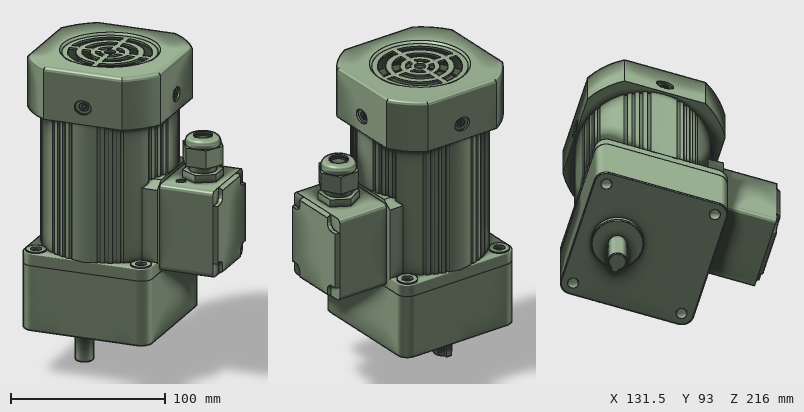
import cadquery as cq
import math


total_height = 216.0
total_length = 131.5
boss_bottom = 28.0
gearbox_bottom = 32.2
flange_bottom = 77.1
flange_top = 85.3
cover_bottom = 180.1

shaft_offset = 18.0
shaft_diameter = 12.0
shaft_chamfer = 0.6
key_width = 4.0
key_reach = 7.3
key_length = 25.0

frame_width = 89.9
frame_corner_radius = 8.0
gearbox_chamfer = 0.6
boss_diameter = 34.1
boss_chamfer = 0.6
bolt_spacing = 73.5
bolt_hole_diameter = 7.1

flange_edge_fillet = 0.6
bolt_pad_diameter = 13.5
bolt_pad_height = 0.9
motor_radius = frame_width / 2
groove_count_per_group = 4
groove_group_count = 8
groove_pitch_angle = 6.5
groove_diameter = 2.2
saddle_width = 57.9
saddle_top = 140.2
saddle_inner_x = 30.2
saddle_chamfer_across = 6.7
saddle_chamfer_down = 5.0

cover_width = 93.0
cover_corner_diameter = 108.0
cover_top_fillet = 3.0
cover_recess_diameter = 65.5
cover_recess_depth = 1.5
grille_thickness = 1.3
grille_spoke_width = 4.0
grille_rings = [(6.0, 9.3), (13.0, 18.1), (22.2, 27.5)]
grille_center_diameter = 7.1
cavity_diameter = 77.8
cavity_floor = 196.5
cavity_recess_diameter = 62.6
cavity_recess_depth = 1.0
screw_height = 191.8
screw_pockets = [(5.8, 4.8, 1.5), (3.2, 2.5, 2.4), (1.5, 1.5, 3.2)]

box_length = total_length - cover_width / 2 - motor_radius
box_width = 50.1
box_bottom = 78.5
box_top = 137.8
box_edge_fillet = 3.0
lid_thickness = 2.8
lid_inset = 1.7
lid_notch_size = 10.0
lid_notch_fillet = 4.8
vent_x = 55.0
vent_y = -13.2
vent_diameter = 6.3
vent_depth = 1.0

gland_x = 65.0
base_hex_flats = 23.3
base_hex_height = 5.2
neck_diameter = 18.0
neck_height = 5.0
nut_hex_corners = 28.0
nut_hex_height = 12.5
dome_diameter = 23.1
dome_height = 6.0
dome_fillet = 4.3
gland_bores = [(12.5, 1.3), (10.8, 2.5)]


def block(x_size, y_size, bottom, top):
    """Block centred on the motor axis between two heights."""
    return cq.Workplane("XY").workplane(offset=bottom).rect(x_size, y_size).extrude(top - bottom)


def cylinder(diameter, bottom, top, x=0.0, y=0.0):
    """Upright cylinder between two heights."""
    return cq.Workplane("XY").workplane(offset=bottom).center(x, y).circle(diameter / 2).extrude(top - bottom)


def bolt_columns(diameter, bottom, top):
    """Four upright cylinders on the bolt pattern of the frame."""
    return (
        cq.Workplane("XY")
        .workplane(offset=bottom)
        .rect(bolt_spacing, bolt_spacing, forConstruction=True)
        .vertices()
        .circle(diameter / 2)
        .extrude(top - bottom)
    )


def rounded_frame(bottom, top):
    """Square frame section with rounded upright corners."""
    return block(frame_width, frame_width, bottom, top).edges("|Z").fillet(frame_corner_radius)


def make_output_shaft():
    """Shaft with its key on the +Y side, standing on the gearbox boss."""
    shaft = cylinder(shaft_diameter, 0, boss_bottom, -shaft_offset).faces("<Z").chamfer(shaft_chamfer)
    key = (
        cq.Workplane("XY")
        .center(-shaft_offset, key_reach / 2)
        .rect(key_width, key_reach)
        .extrude(key_length)
    )
    return shaft.union(key)


def make_gearbox():
    """Square gearbox with the offset output boss below it."""
    body = rounded_frame(gearbox_bottom, flange_bottom).faces("<Z").chamfer(gearbox_chamfer)
    boss = cylinder(boss_diameter, boss_bottom, gearbox_bottom, -shaft_offset)
    boss = boss.faces("<Z").chamfer(boss_chamfer)
    return body.union(boss).cut(bolt_columns(bolt_hole_diameter, gearbox_bottom, flange_bottom))


def make_saddle():
    """Flat-sided seat on the +X side of the motor for the terminal box."""
    half_width = saddle_width / 2
    half_top = half_width - saddle_chamfer_across
    shoulder = saddle_top - saddle_chamfer_down
    profile = [
        (-half_width, flange_bottom),
        (half_width, flange_bottom),
        (half_width, shoulder),
        (half_top, saddle_top),
        (-half_top, saddle_top),
        (-half_width, shoulder),
    ]
    length = motor_radius - saddle_inner_x
    return cq.Workplane("YZ").workplane(offset=saddle_inner_x).polyline(profile).close().extrude(length)


def groove_angles():
    """Angles of the cooling grooves, in groups between the smooth stretches."""
    group_step = 360 / groove_group_count
    middle = (groove_count_per_group - 1) / 2
    return [
        group_step * (group + 0.5) + groove_pitch_angle * (i - middle)
        for group in range(groove_group_count)
        for i in range(groove_count_per_group)
    ]


def make_motor():
    """Motor barrel with half-round grooves, with its mounting flange and terminal box saddle."""
    barrel = cylinder(2 * motor_radius, flange_bottom, cover_bottom)
    for angle in groove_angles():
        groove = cylinder(groove_diameter, flange_top, cover_bottom, motor_radius)
        barrel = barrel.cut(groove.rotate((0, 0, 0), (0, 0, 1), angle))
    flange = rounded_frame(flange_bottom, flange_top).faces(">Z").edges().fillet(flange_edge_fillet)
    pads = bolt_columns(bolt_pad_diameter, flange_bottom, flange_top + bolt_pad_height)
    holes = bolt_columns(bolt_hole_diameter, flange_bottom, flange_top + bolt_pad_height)
    return flange.union(pads).union(barrel).union(make_saddle()).cut(holes)


def make_grille(floor):
    """Cutter for the ring slots, parted by four spokes, and the centre hole."""
    bottom = floor - grille_thickness
    slots = cylinder(grille_center_diameter, bottom, floor)
    spoke_length = cover_recess_diameter
    spokes = block(spoke_length, grille_spoke_width, bottom, floor)
    spokes = spokes.union(block(grille_spoke_width, spoke_length, bottom, floor))
    for inner, outer in grille_rings:
        ring = cylinder(2 * outer, bottom, floor).cut(cylinder(2 * inner, bottom, floor))
        slots = slots.union(ring.cut(spokes))
    return slots


def make_screw_pocket():
    """Cutter for one stepped oval screw pocket in the -Y side of the cover."""
    pocket = cq.Workplane("XY")
    for half_width, half_height, depth in screw_pockets:
        step = (
            cq.Workplane("XZ", origin=(0, -cover_width / 2, screw_height))
            .ellipse(half_width, half_height)
            .extrude(-depth)
        )
        pocket = pocket.union(step)
    return pocket


def make_fan_cover():
    """Hollow cover with a recessed grille and a screw pocket on each side."""
    cover = block(cover_width, cover_width, cover_bottom, total_height)
    cover = cover.intersect(cylinder(cover_corner_diameter, cover_bottom, total_height))
    cover = cover.faces(">Z").edges().fillet(cover_top_fillet)
    floor = total_height - cover_recess_depth
    recess = (
        cq.Workplane("XY")
        .workplane(offset=total_height)
        .circle(cover_recess_diameter / 2)
        .extrude(-cover_recess_depth, taper=45)
    )
    cavity = cylinder(cavity_diameter, cavity_floor, floor - grille_thickness)
    cavity_recess = cylinder(cavity_recess_diameter, cavity_floor - cavity_recess_depth, cavity_floor)
    cover = cover.cut(recess).cut(make_grille(floor)).cut(cavity).cut(cavity_recess)
    pocket = make_screw_pocket()
    for side in range(4):
        cover = cover.cut(pocket.rotate((0, 0, 0), (0, 0, 1), 90 * side))
    return cover


def make_terminal_box():
    """Box on the motor saddle whose lid face has four notched corners."""
    height = box_top - box_bottom
    middle = (box_top + box_bottom) / 2
    body_length = box_length - lid_thickness
    body = cq.Workplane("YZ", origin=(motor_radius, 0, middle)).rect(box_width, height).extrude(body_length)
    body = body.edges("|X").fillet(box_edge_fillet)
    lid_plane = cq.Workplane("YZ", origin=(motor_radius + body_length, 0, middle))
    lean_angle = math.degrees(math.atan(lid_inset / lid_thickness))
    lid = lid_plane.rect(box_width, height).extrude(lid_thickness, taper=lean_angle)
    notches = (
        lid_plane.rect(box_width, height, forConstruction=True)
        .vertices()
        .rect(2 * lid_notch_size, 2 * lid_notch_size)
        .extrude(lid_thickness)
        .edges("|X")
        .fillet(lid_notch_fillet)
    )
    vent = cylinder(vent_diameter, box_top - vent_depth, box_top, vent_x, vent_y)
    return body.union(lid.cut(notches)).cut(vent)


def make_cable_gland():
    """Hexagon base, neck, hexagon nut and bored dome standing on the box."""
    neck_bottom = box_top + base_hex_height
    nut_bottom = neck_bottom + neck_height
    dome_bottom = nut_bottom + nut_hex_height
    dome_top = dome_bottom + dome_height
    base_hex_corners = base_hex_flats / math.cos(math.pi / 6)
    base = cq.Workplane("XY").polygon(6, base_hex_corners).extrude(base_hex_height)
    base = base.rotate((0, 0, 0), (0, 0, 1), 90).translate((gland_x, 0, box_top))
    neck = cylinder(neck_diameter, neck_bottom, nut_bottom, gland_x)
    nut = cq.Workplane("XY").polygon(6, nut_hex_corners).extrude(nut_hex_height)
    nut = nut.translate((gland_x, 0, nut_bottom))
    dome = cylinder(dome_diameter, dome_bottom, dome_top, gland_x).faces(">Z").edges().fillet(dome_fillet)
    gland = base.union(neck).union(nut).union(dome)
    for diameter, depth in gland_bores:
        gland = gland.cut(cylinder(diameter, dome_top - depth, dome_top, gland_x))
    return gland


output_shaft = make_output_shaft()
gearbox = make_gearbox()
motor = make_motor()
fan_cover = make_fan_cover()
terminal_box = make_terminal_box()
cable_gland = make_cable_gland()

result = cq.Compound.makeCompound(
    [
        output_shaft.val(),
        gearbox.val(),
        motor.val(),
        fan_cover.val(),
        terminal_box.val(),
        cable_gland.val(),
    ]
)